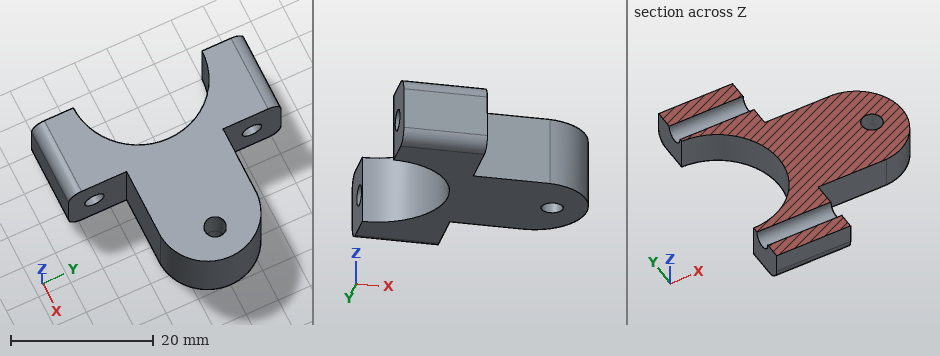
import cadquery as cq

thickness = 10.0
arm_length = 12.0
arm_span = 33.0
arm_edge_radius = 2.0

saddle_diameter = 20.0

overall_length = 30.0
tongue_width = 15.0
tongue_straight_length = 23.0

tongue_hole_diameter = 3.1
tongue_hole_x = 25.0
arm_hole_diameter = 3.0
positive_arm_hole_y = 12.0
negative_arm_hole_y = -12.5


def arm_block():
    """Crossbar along Y with its four outer X-direction edges rounded."""
    block = cq.Workplane("XY").box(arm_length, arm_span, thickness, centered=(False, True, True))
    return block.edges("|X").fillet(arm_edge_radius)


def tongue():
    """Flat tongue from the open face, closed at +X by one arc through its two corners and its tip."""
    half_width = tongue_width / 2
    outline = (
        cq.Workplane("XY")
        .moveTo(0, -half_width)
        .lineTo(tongue_straight_length, -half_width)
        .threePointArc((overall_length, 0), (tongue_straight_length, half_width))
        .lineTo(0, half_width)
        .close()
    )
    return outline.extrude(thickness / 2, both=True)


def vertical_cylinder(x, diameter):
    """Cutter through the full thickness, centred on the X axis."""
    return cq.Workplane("XY").center(x, 0).circle(diameter / 2).extrude(thickness / 2, both=True)


def arm_holes():
    """Cutters running along X through both arms."""
    centres = [(positive_arm_hole_y, 0), (negative_arm_hole_y, 0)]
    return cq.Workplane("YZ").pushPoints(centres).circle(arm_hole_diameter / 2).extrude(arm_length)


result = (
    arm_block()
    .union(tongue())
    .cut(vertical_cylinder(0, saddle_diameter))
    .cut(vertical_cylinder(tongue_hole_x, tongue_hole_diameter))
    .cut(arm_holes())
)